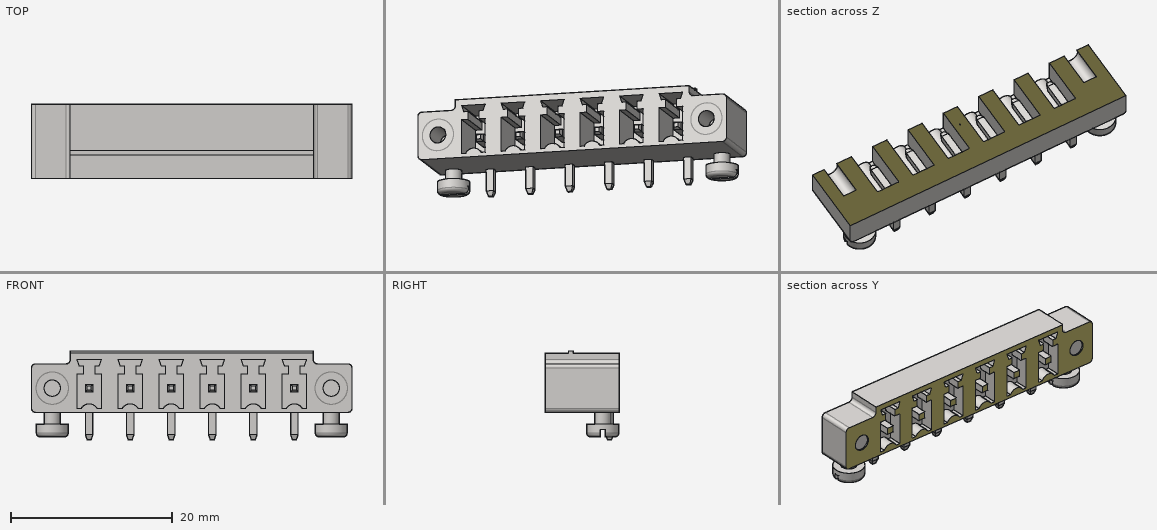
import cadquery as cq


length = 39.6
depth = 9.2
flange_height = 6.0
housing_height = 7.33
flange_width = 4.8
edge_radius = 0.5
front_y = -depth / 2
back_y = depth / 2
shoulder_x = length / 2 - flange_width

rib_width = 0.6
rib_height = 0.28
rib_setback = 2.9

way_count = 6
pitch = 5.05
contact_z = 3.0

cavity_depth = 6.35
cavity_half_width = 1.5
cavity_floor_z = 0.48
slot_top_z = 4.75
neck_half_width = 0.7
neck_top_z = 5.75
dovetail_half_width = 1.23
cavity_top_z = 6.55
bump_half_width = 1.0
bump_height = 0.6

pin_width = 0.95
pin_tip_width = 0.5
pin_taper = 0.65
pin_setback = 2.38
leg_reach = 3.35
leg_y = back_y - 1.23

flange_hole_x = length / 2 - 2.57
insert_diameter = 4.0
insert_hole_diameter = 2.0
insert_depth = 4.75
screw_y = back_y - 2.05
shank_diameter = 2.0
shank_length = 1.43
head_diameter = 4.0
head_height = 1.6
head_radius = 0.48
driver_slot_width = 0.6
driver_slot_depth = 0.9


def front_plane(y):
    """XZ plane at the given Y with its normal toward +Y (local x is -X)."""
    return cq.Workplane(cq.Plane(origin=(0, y, 0), xDir=(-1, 0, 0), normal=(0, 1, 0)))


def make_housing():
    """Block with a lower, rounded flange at each end and a rib on top."""
    flanges = front_plane(front_y).rect(length, flange_height).extrude(depth)
    flanges = flanges.translate((0, 0, flange_height / 2)).edges("|Y").fillet(edge_radius)
    middle = cq.Workplane("XY").box(2 * shoulder_x, depth, housing_height, centered=(True, True, False))
    body = flanges.union(middle)
    margin = 0.05
    inner_corners = cq.selectors.BoxSelector(
        (-shoulder_x - margin, -depth, flange_height - margin),
        (shoulder_x + margin, depth, flange_height + margin),
    )
    body = body.edges("|Y").edges(inner_corners).fillet(edge_radius)
    rib = (
        cq.Workplane("XY", origin=(0, front_y + rib_setback + rib_width / 2, housing_height))
        .box(2 * shoulder_x, rib_width, rib_height, centered=(True, True, False))
    )
    return body.union(rib)


def make_cavity():
    """Opening of one way, with a rounded bump along its floor."""
    return (
        front_plane(front_y)
        .moveTo(-cavity_half_width, cavity_floor_z)
        .lineTo(-cavity_half_width, slot_top_z)
        .lineTo(-neck_half_width, slot_top_z)
        .lineTo(-neck_half_width, neck_top_z)
        .lineTo(-dovetail_half_width, neck_top_z)
        .lineTo(-cavity_half_width, cavity_top_z)
        .lineTo(cavity_half_width, cavity_top_z)
        .lineTo(dovetail_half_width, neck_top_z)
        .lineTo(neck_half_width, neck_top_z)
        .lineTo(neck_half_width, slot_top_z)
        .lineTo(cavity_half_width, slot_top_z)
        .lineTo(cavity_half_width, cavity_floor_z)
        .lineTo(bump_half_width, cavity_floor_z)
        .threePointArc((0, cavity_floor_z + bump_height), (-bump_half_width, cavity_floor_z))
        .close()
        .extrude(cavity_depth)
    )


def square_pin(plane, pin_length):
    """Square pin starting with a tapered tip at the plane origin."""
    tip = (
        cq.Workplane(plane)
        .rect(pin_tip_width, pin_tip_width)
        .workplane(offset=pin_taper)
        .rect(pin_width, pin_width)
        .loft()
    )
    shaft = cq.Workplane(plane).workplane(offset=pin_taper).rect(pin_width, pin_width)
    return tip.union(shaft.extrude(pin_length - pin_taper))


def make_contact():
    """Contact with a mating pin along Y and a solder leg along Z."""
    tip_y = front_y + pin_setback
    mating_plane = cq.Plane(origin=(0, tip_y, contact_z), xDir=(1, 0, 0), normal=(0, 1, 0))
    leg_plane = cq.Plane(origin=(0, leg_y, -leg_reach), xDir=(1, 0, 0), normal=(0, 0, 1))
    mating_pin = square_pin(mating_plane, leg_y + pin_width / 2 - tip_y)
    leg = square_pin(leg_plane, contact_z + pin_width / 2 + leg_reach)
    return mating_pin.union(leg)


def make_insert():
    """Ring-shaped insert, flush with the mating face."""
    ring = front_plane(front_y).center(0, contact_z).circle(insert_diameter / 2)
    return ring.circle(insert_hole_diameter / 2).extrude(insert_depth)


def make_screw():
    """Screw entering the flange from below, its driver slot along X."""
    head_bottom_z = -shank_length - head_height
    head = (
        cq.Workplane("XY", origin=(0, screw_y, head_bottom_z))
        .circle(head_diameter / 2)
        .extrude(head_height)
        .faces("<Z")
        .edges()
        .fillet(head_radius)
    )
    driver_slot = (
        cq.Workplane("XY", origin=(0, screw_y, head_bottom_z))
        .box(head_diameter, driver_slot_width, driver_slot_depth, centered=(True, True, False))
    )
    shank = cq.Workplane("XY", origin=(0, screw_y, -shank_length))
    shank = shank.circle(shank_diameter / 2).extrude(shank_length)
    return head.cut(driver_slot).union(shank)


result = make_housing()
cavity = make_cavity()
contact = make_contact()
for way in range(way_count):
    way_position = ((way - (way_count - 1) / 2) * pitch, 0, 0)
    result = result.cut(cavity.translate(way_position))
    result = result.union(contact.translate(way_position))

screw = make_screw()
for side in (-1, 1):
    result = result.union(screw.translate((side * flange_hole_x, 0, 0)))

insert = make_insert()
insert_bore = front_plane(front_y).center(0, contact_z).circle(insert_diameter / 2).extrude(insert_depth)
for side in (-1, 1):
    flange_position = (side * flange_hole_x, 0, 0)
    result = result.cut(insert_bore.translate(flange_position), clean=False)
    result = result.union(insert.translate(flange_position), clean=False)